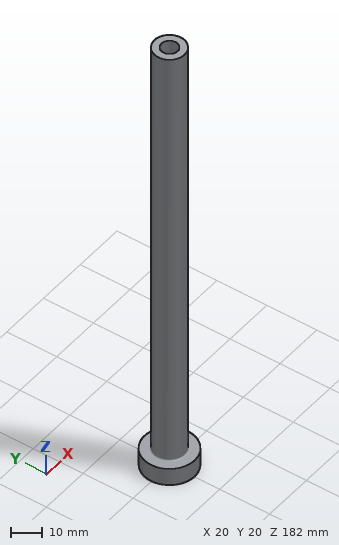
import cadquery as cq

total_length = 182.0
head_diameter = 20.0
head_height = 7.1
shaft_diameter = 12.0
bore_diameter = 6.4
neck_fillet = 0.5

head = cq.Workplane("XY").circle(head_diameter / 2).extrude(head_height)
shaft = cq.Workplane("XY").circle(shaft_diameter / 2).extrude(total_length)
body = head.union(shaft)

neck_reach = shaft_diameter / 2 + neck_fillet
neck_box = cq.selectors.BoxSelector(
    (-neck_reach, -neck_reach, head_height - neck_fillet),
    (neck_reach, neck_reach, head_height + neck_fillet),
    boundingbox=True,
)
body = body.edges(neck_box).fillet(neck_fillet)

bore = cq.Workplane("XY").circle(bore_diameter / 2).extrude(total_length)
result = body.cut(bore)